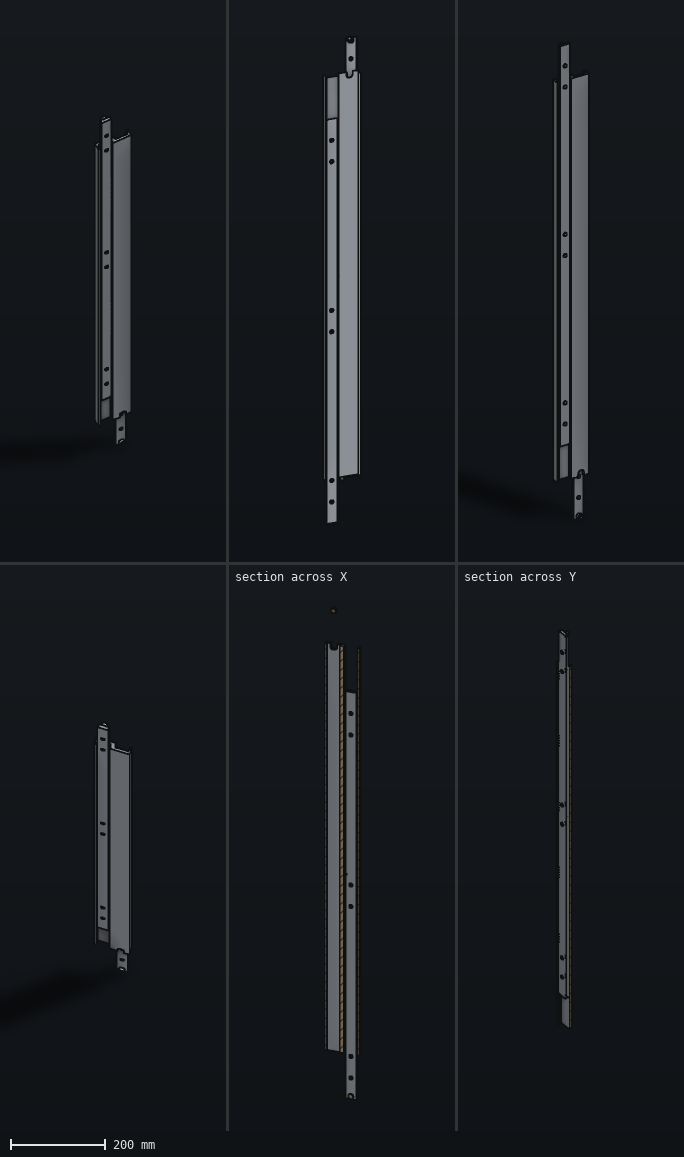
import cadquery as cq

total_length = 1139.0
depth = 17.0
width = 80.0
upper_extension = 84.0
lower_extension = 105.0
housing_length = total_length - upper_extension - lower_extension
housing_bottom = -total_length / 2 + lower_extension
housing_top = housing_bottom + housing_length
housing_center = (housing_bottom + housing_top) / 2

web_thickness = 7.0
channel_width = 30.0
channel_center = width / 4

bar_width = 25.0
bar_thickness = 8.0
race_radius = 1.7
hole_diameter = 8.0
hole_end_offset = 50.0
hole_pair_spacing = 50.0

stud_diameter = 13.0
stud_chamfer = 2.0
stud_end_offset = 7.0
notch_width = 15.0
notch_center_depth = 7.0


def bar_center_x(side):
    """Mid-thickness of a bar whose outer face is flush with the open face of its channel."""
    return -side * (depth - bar_thickness) / 2


def ball_races(side, spacing, center_z):
    """Two round rods along Z, spacing apart in Y, that cut the races at mid-thickness of a bar."""
    return (
        cq.Workplane("XY", origin=(bar_center_x(side), side * channel_center, center_z))
        .pushPoints([(0, -spacing / 2), (0, spacing / 2)])
        .circle(race_radius)
        .extrude(housing_length / 2, both=True)
    )


def channel_cut(side):
    """Full-length channel at the +Y side (side 1), open to -X, or at the -Y side (side -1), open to +X."""
    cut_depth = depth - web_thickness
    channel = cq.Workplane("XY").box(cut_depth, channel_width, housing_length).translate(
        (-side * web_thickness / 2, side * channel_center, housing_center)
    )
    return channel.union(ball_races(side, channel_width, housing_center))


def stop_notch(side):
    """Round-ended notch in the channel web, at the housing end where that bar comes out."""
    end_z = housing_bottom if side > 0 else housing_top
    center_z = end_z + side * notch_center_depth
    web_x = side * (depth - web_thickness) / 2
    mouth = cq.Workplane("XY").box(web_thickness, notch_width, notch_center_depth).translate(
        (web_x, side * channel_center, (end_z + center_z) / 2)
    )
    rounded_end = (
        cq.Workplane("YZ", origin=(web_x, side * channel_center, center_z))
        .circle(notch_width / 2)
        .extrude(web_thickness / 2, both=True)
    )
    return mouth.union(rounded_end)


def make_housing():
    housing = cq.Workplane("XY").box(depth, width, housing_length).translate(
        (0, 0, housing_center)
    )
    for side in (1, -1):
        housing = housing.cut(channel_cut(side)).cut(stop_notch(side))
    return housing


def make_slide_bar(side):
    """Bar in the +Y channel drawn out downwards (side 1), or in the -Y channel drawn out upwards (side -1)."""
    outer_end = -side * total_length / 2
    center_y = side * channel_center
    center_z = outer_end + side * housing_length / 2
    bar = cq.Workplane("XY").box(bar_thickness, bar_width, housing_length).translate(
        (bar_center_x(side), center_y, center_z)
    )

    end_pair_center = housing_length / 2 - hole_end_offset - hole_pair_spacing / 2
    hole_offsets = [
        pair_center + end * hole_pair_spacing / 2
        for pair_center in (-end_pair_center, 0, end_pair_center)
        for end in (-1, 1)
    ]
    holes = (
        cq.Workplane("YZ", origin=(0, center_y, center_z))
        .pushPoints([(0, offset) for offset in hole_offsets])
        .circle(hole_diameter / 2)
        .extrude(depth / 2, both=True)
    )

    stud = (
        cq.Workplane("YZ", origin=(bar_center_x(side), center_y, outer_end + side * stud_end_offset))
        .circle(stud_diameter / 2)
        .extrude(side * (depth - bar_thickness / 2))
        .faces(">X" if side > 0 else "<X")
        .chamfer(stud_chamfer)
    )
    return bar.cut(holes).cut(ball_races(side, bar_width, center_z)).union(stud)


housing = make_housing()
slide_bars = [make_slide_bar(side) for side in (1, -1)]

result = cq.Compound.makeCompound([housing.val(), *[bar.val() for bar in slide_bars]])